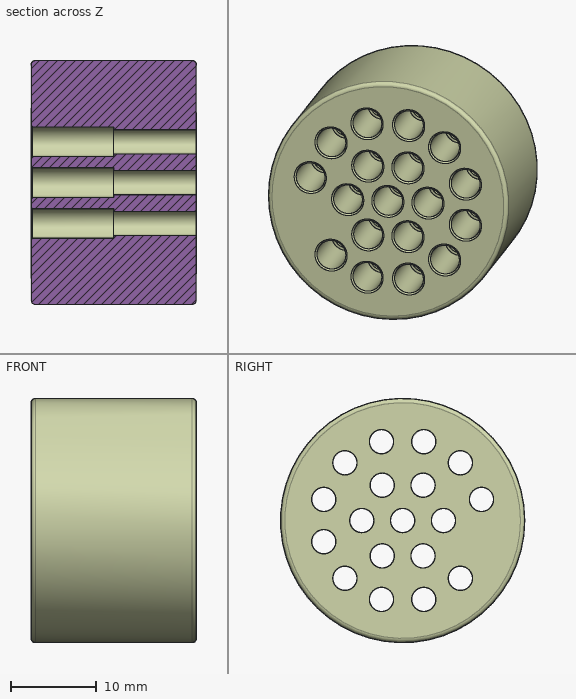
import cadquery as cq
import math

body_diameter = 28.5
body_length = 19.3
rim_fillet = 0.5

bore_diameter = 3.42
bore_depth = body_length / 2
hole_diameter = 2.8
mouth_chamfer = 0.2

inner_ring_radius = 4.75
inner_ring_count = 6
outer_ring_radius = 2 * inner_ring_radius
outer_ring_count = 12
omitted_outer_index = 11

entry_x = -body_length / 2


def ring_points(radius, count, start_angle):
    """Evenly spaced (y, z) points, counted from +Y towards +Z, angles in degrees."""
    step = 360 / count
    angles = [math.radians(start_angle + step * index) for index in range(count)]
    return [(radius * math.cos(angle), radius * math.sin(angle)) for angle in angles]


def make_body():
    """Solid cylinder from the -X face to the +X face with rounded rims."""
    cylinder = cq.Workplane("YZ", origin=(entry_x, 0, 0)).circle(body_diameter / 2).extrude(body_length)
    return cylinder.faces("<X or >X").edges().fillet(rim_fillet)


def make_hole_cutter():
    """Revolved cutter along X: chamfered mouth, wide bore, step, narrow hole."""
    bore_radius = bore_diameter / 2
    hole_radius = hole_diameter / 2
    step_x = entry_x + bore_depth
    exit_x = entry_x + body_length
    profile = (
        cq.Workplane("XY")
        .moveTo(entry_x, 0)
        .lineTo(entry_x, bore_radius + mouth_chamfer)
        .lineTo(entry_x + mouth_chamfer, bore_radius)
        .lineTo(step_x, bore_radius)
        .lineTo(step_x, hole_radius)
        .lineTo(exit_x, hole_radius)
        .lineTo(exit_x, 0)
        .close()
    )
    return profile.revolve(360, (0, 0, 0), (1, 0, 0))


centre_point = (0, 0)
inner_points = ring_points(inner_ring_radius, inner_ring_count, 0)
half_outer_step = 360 / outer_ring_count / 2
outer_points = ring_points(outer_ring_radius, outer_ring_count, half_outer_step)
outer_points.pop(omitted_outer_index)

result = make_body()
cutter = make_hole_cutter()
for y, z in [centre_point] + inner_points + outer_points:
    result = result.cut(cutter.translate((0, y, z)))